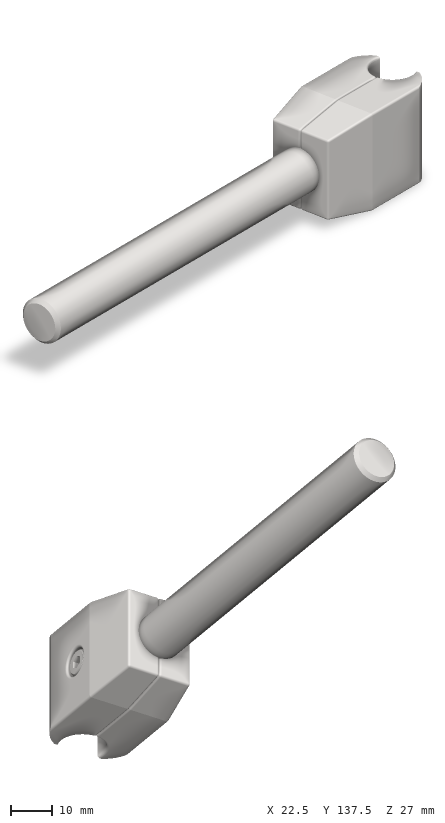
import cadquery as cq
import math

head_width = 22.5
head_height = 27.0
head_length = 37.5
taper_length = 14.0
taper_angle = 10
edge_fillet = 0.6

rod_diameter = 12.0
rod_length = 100.0
rod_insertion = taper_length
rod_chamfer = 1.0

cradle_diameter = 12.0
cradle_center_y = head_length - 2.0
jaw_radius = 9.9
jaw_center_x = 1.8
jaw_center_y = head_length - 8.5

screw_y = 20.9
screw_bore_diameter = 7.5
screw_head_diameter = 7.0
screw_head_chamfer = 0.5
screw_head_depth = 0.5
screw_head_height = 4.0
screw_shank_diameter = 4.0
screw_thread_reach = 6.9
socket_width = 3.0
socket_depth = 2.0

half_width = head_width / 2
half_height = head_height / 2
taper_inset = taper_length * math.tan(math.radians(taper_angle))
screw_top_x = -half_width + screw_head_depth
tolerance = 0.0001


def cylinder_along_y(diameter, start, end):
    return cq.Workplane("XZ", origin=(0, start, 0)).circle(diameter / 2).extrude(start - end)


def cylinder_along_x(diameter, start, end):
    return cq.Workplane("YZ", origin=(start, screw_y, 0)).circle(diameter / 2).extrude(end - start)


def has_broken_edge(edge):
    """True for the lengthwise edges and those of the rod-side face."""
    box = edge.BoundingBox()
    return box.ylen > tolerance or box.ymax < tolerance


def tapered_block():
    """Right half of the head (+X side) with square jaws."""
    plan = (
        cq.Workplane("XY")
        .polyline([
            (0, 0),
            (half_width - taper_inset, 0),
            (half_width, taper_length),
            (half_width, head_length),
            (0, head_length),
        ])
        .close()
        .extrude(half_height, both=True)
    )
    elevation = (
        cq.Workplane("YZ")
        .polyline([
            (0, half_height - taper_inset),
            (taper_length, half_height),
            (head_length, half_height),
            (head_length, -half_height),
            (taper_length, -half_height),
            (0, taper_inset - half_height),
        ])
        .close()
        .extrude(half_width)
    )
    block = plan.intersect(elevation)
    return block.edges().filter(has_broken_edge).fillet(edge_fillet)


def jaw_outline():
    """Plan of the head with its rounded jaw corner, wide enough to trim only that corner."""
    corner_y = jaw_center_y + math.sqrt(jaw_radius**2 - (half_width - jaw_center_x) ** 2)
    tip_x = jaw_center_x + math.sqrt(jaw_radius**2 - (head_length - jaw_center_y) ** 2)
    diagonal = jaw_radius * math.sqrt(0.5)
    return (
        cq.Workplane("XY")
        .lineTo(half_width, 0)
        .lineTo(half_width, corner_y)
        .threePointArc((jaw_center_x + diagonal, jaw_center_y + diagonal), (tip_x, head_length))
        .lineTo(0, head_length)
        .close()
        .extrude(half_height, both=True)
    )


def cradle_cutter():
    """Open round seat between the jaws."""
    return (
        cq.Workplane("XY", origin=(0, cradle_center_y, 0))
        .circle(cradle_diameter / 2)
        .extrude(half_height, both=True)
    )


def is_cradle_rim(edge):
    """True for the round edges of the seat in the top and bottom faces."""
    box = edge.BoundingBox()
    on_outer_face = abs(box.center.z) > half_height - tolerance
    if edge.geomType() != "CIRCLE" or not on_outer_face:
        return False
    return abs(edge.radius() - cradle_diameter / 2) < tolerance


def make_rod():
    rod = cylinder_along_y(rod_diameter, -rod_length, rod_insertion)
    return rod.faces("<Y").chamfer(rod_chamfer)


def make_screw():
    head_end_x = screw_top_x + screw_head_height
    head = cylinder_along_x(screw_head_diameter, screw_top_x, head_end_x)
    head = head.faces("<X").chamfer(screw_head_chamfer)
    shank = cylinder_along_x(screw_shank_diameter, head_end_x, screw_thread_reach)
    socket = (
        cq.Workplane("YZ", origin=(screw_top_x, screw_y, 0))
        .polygon(6, socket_width, circumscribed=True)
        .extrude(socket_depth)
    )
    return head.union(shank).cut(socket)


def screw_pocket():
    """Clearance bore for the screw head and a fitting hole for the shank."""
    seat_x = screw_top_x + screw_head_height
    bore = cylinder_along_x(screw_bore_diameter, -half_width, seat_x)
    shank_hole = cylinder_along_x(screw_shank_diameter, seat_x, screw_thread_reach)
    return bore.union(shank_hole)


def make_half_blank():
    """Right half of the head before the screw hole is cut."""
    half = tapered_block().intersect(jaw_outline()).cut(cradle_cutter())
    half = half.edges().filter(is_cradle_rim).fillet(edge_fillet)
    return half.cut(cylinder_along_y(rod_diameter, 0, rod_insertion))


def make_right_half():
    return make_half_blank().cut(screw_pocket())


def make_left_half():
    """Mirrored half, with a rounded mouth on the screw bore."""
    half = make_half_blank().mirror("YZ").cut(screw_pocket())
    return half.faces("<X").edges("%CIRCLE").fillet(edge_fillet)


left_half = make_left_half()
right_half = make_right_half()
rod = make_rod()
screw = make_screw()

result = cq.Compound.makeCompound([left_half.val(), right_half.val(), rod.val(), screw.val()])